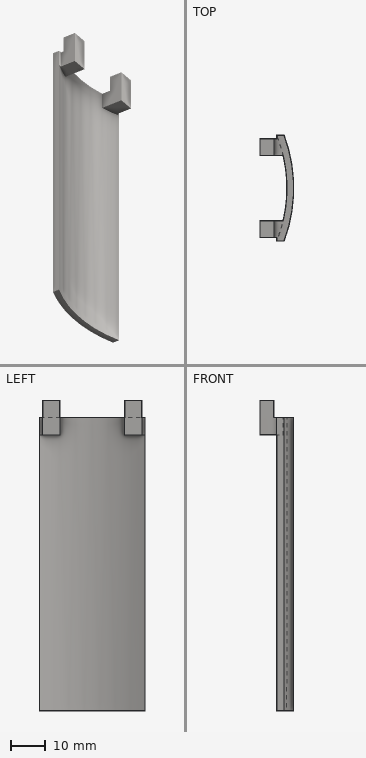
import cadquery as cq

total_height = 90.0
total_depth = 9.8
plate_width = 30.7
plate_thickness = 2.0
outer_rise = 2.8
edge_thickness = 2.2

hook_height = 10.0
hook_overhang = 4.95
hook_width = 4.95
hook_inset = 1.0
hook_tip_depth = 4.05

half_width = plate_width / 2
plate_height = total_height - hook_overhang
outer_edge_x = total_depth - outer_rise
inner_edge_x = outer_edge_x - edge_thickness
inner_crown_x = total_depth - plate_thickness
hook_bottom_z = total_height - hook_height
hook_center_y = half_width - hook_inset - hook_width / 2


def make_plate():
    """Arched strip with flat side edges."""
    return (
        cq.Workplane("XY")
        .moveTo(inner_edge_x, -half_width)
        .lineTo(outer_edge_x, -half_width)
        .threePointArc((total_depth, 0), (outer_edge_x, half_width))
        .lineTo(inner_edge_x, half_width)
        .threePointArc((inner_crown_x, 0), (inner_edge_x, -half_width))
        .close()
        .extrude(plate_height)
    )


def make_hook(center_y):
    """Upright tip on a foot that runs back into the plate's thickness."""
    tip = cq.Workplane("XY").box(
        hook_tip_depth, hook_width, hook_height, centered=(False, True, False)
    )
    foot = cq.Workplane("XY").box(
        outer_edge_x, hook_width, hook_height - hook_overhang, centered=(False, True, False)
    )
    return tip.union(foot).translate((0, center_y, hook_bottom_z))


def make_side_pad(side):
    """Flat fill of the hollow between a hook and the plate's side edge."""
    pad_width = hook_inset + hook_width / 2
    pad = cq.Workplane("XY").box(
        edge_thickness, pad_width, hook_height - hook_overhang, centered=(False, True, False)
    )
    return pad.translate((inner_edge_x, side * (half_width - pad_width / 2), hook_bottom_z))


result = make_plate()
for side in (-1, 1):
    result = result.union(make_hook(side * hook_center_y))
    result = result.union(make_side_pad(side))